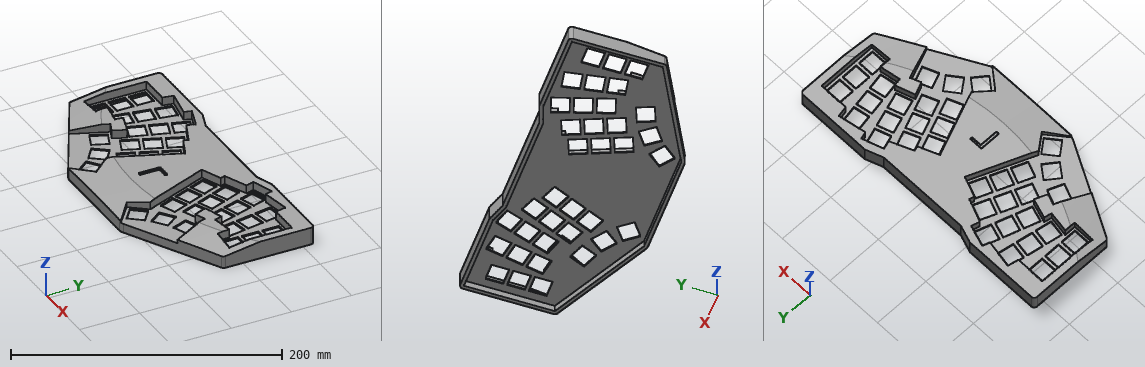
import cadquery as cq
import math


width = 245.8
depth = 119.0
height = 14.5
front_half_width = 42.0
side_start = 43.3
notch_depth = 5.2
notch_inner_half = 40.5
notch_outer_half = 55.3
corner_radius = 3.0
front_corner_radius = 8.8

crease_radius = 194.2
crease_front = 30.2
palm_slope = 0.15
palm_overrun = 2.5

plate_top = 7.5
plate_thickness = 1.2
wall = 3.0
cavity_height = plate_top - plate_thickness

key_hole = 13.8
key_pitch = 17.0
keys_per_column = 3
key_columns = [
    (-106.5, 77.7, 0),
    (-84.3, 85.5, -10),
    (-62.2, 86.8, -18),
    (-46.5, 73.0, -22),
    (-31.2, 62.2, -22),
]
thumb_keys = [
    (-69.5, 40.5, -22),
    (-51.5, 30.7, -37),
    (-37.0, 16.5, -52),
]

well_outline = [
    (-116.0, 103.7), (-90.7, 103.7), (-89.0, 112.5), (-65.5, 108.5), (-63.7, 114.3),
    (-46.0, 108.5), (-48.0, 101.5), (-28.8, 93.5), (-30.0, 89.5), (-13.0, 82.5),
    (-35.1, 28.3), (-24.3, 14.3), (-45.0, -2.2), (-96.3, 0.0), (-75.2, 52.5),
    (-66.5, 49.2), (-62.2, 59.7), (-78.7, 65.1), (-80.0, 58.7), (-97.3, 61.7),
    (-97.3, 51.9), (-116.0, 51.9),
]

groove_corner = (-4.5, 57.0)
groove_length_x = 11.5
groove_length_y = 18.0
groove_width_x = 2.5
groove_width_y = 1.7
groove_depth = 0.5


def mirrored(left):
    """Join a left-hand shape with its mirror image."""
    return left.union(left.mirror("YZ"))


def body_outline():
    """Plan outline of the case, counter-clockwise from the front left corner."""
    half = width / 2
    right = [
        (front_half_width, 0),
        (half, side_start),
        (half, depth),
        (notch_outer_half, depth),
        (notch_inner_half, depth - notch_depth),
    ]
    left = [(-x, y) for x, y in reversed(right)]
    return cq.Workplane("XY").polyline(right + left).close()


def solid_body():
    body = body_outline().extrude(height)
    body = body.edges("|Z and (<X or >X)").fillet(corner_radius)
    return body.edges("|Z and <Y").fillet(front_corner_radius)


def palm_cutter():
    """Everything in front of the crease arc, pushed down and forward along the slope."""
    reach = width / 2 + palm_overrun
    arc_centre_y = crease_front + crease_radius
    arc_end_y = arc_centre_y - math.sqrt(crease_radius**2 - reach**2)
    region = (
        cq.Workplane("XY", origin=(0, 0, height))
        .moveTo(-reach, arc_end_y)
        .threePointArc((0, crease_front), (reach, arc_end_y))
        .lineTo(reach, -palm_overrun)
        .lineTo(-reach, -palm_overrun)
        .close()
    )
    slide = cq.Vector(0, -depth, -depth * palm_slope)
    return cq.Workplane(cq.Solid.extrudeLinear(region.wires().val(), [], slide))


def key_wells():
    left = cq.Workplane("XY", origin=(0, 0, plate_top)).polyline(well_outline).close()
    return mirrored(left.extrude(height))


def key_hole_positions():
    """Centre and tilt of every key of the left half."""
    positions = list(thumb_keys)
    for x, y, tilt in key_columns:
        angle = math.radians(tilt)
        for row in range(keys_per_column):
            along = (row - (keys_per_column - 1) / 2) * key_pitch
            positions.append((x - along * math.sin(angle), y + along * math.cos(angle), tilt))
    return positions


def key_holes():
    holes = cq.Workplane("XY")
    for x, y, tilt in key_hole_positions():
        hole = cq.Workplane("XY").box(key_hole, key_hole, height, centered=(True, True, False))
        holes = holes.add(hole.rotate((0, 0, 0), (0, 0, 1), tilt).translate((x, y, 0)))
    return mirrored(holes.combine())


def cavity():
    """Hollow under the key plate, open at the bottom."""
    return body_outline().offset2D(-wall, "intersection").extrude(cavity_height)


def groove():
    corner = cq.Workplane("XY", origin=(*groove_corner, height - groove_depth))
    across = corner.rect(groove_length_x, -groove_width_y, centered=False).extrude(height)
    down = corner.rect(groove_width_x, -groove_length_y, centered=False).extrude(height)
    return across.union(down)


result = (
    solid_body()
    .cut(palm_cutter())
    .cut(key_wells())
    .cut(cavity())
    .cut(key_holes())
    .cut(groove())
)